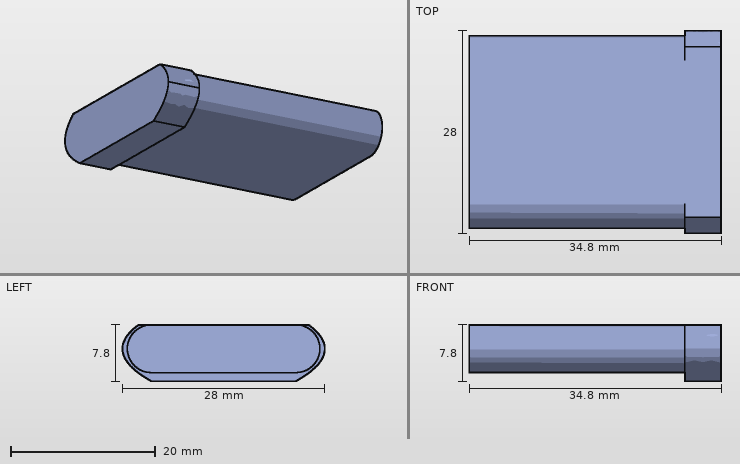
import cadquery as cq

body_length = 29.8
body_height = 6.6
body_flat_width = 20.0
body_side_radius = body_height / 2

flange_length = 5.0
flange_width = 28.0
flange_height = 7.8
flange_half_width = flange_width / 2
flange_top_half_width = 11.75
flange_bottom_half_width = body_flat_width / 2
flange_top_z = body_height / 2
flange_bottom_z = flange_top_z - flange_height


def make_body():
    body_width = body_flat_width + 2 * body_side_radius
    return cq.Workplane("YZ").slot2D(body_width, body_height).extrude(body_length)


def flange_side_curve(side, edge_half_width, edge_z):
    """Control points of a parabola from the widest point (Z = 0, upright there) to a flat face's edge."""
    return [
        (side * flange_half_width, 0),
        (side * flange_half_width, edge_z / 2),
        (side * edge_half_width, edge_z),
    ]


def make_flange():
    right_top = flange_side_curve(1, flange_top_half_width, flange_top_z)
    left_top = flange_side_curve(-1, flange_top_half_width, flange_top_z)
    left_bottom = flange_side_curve(-1, flange_bottom_half_width, flange_bottom_z)
    right_bottom = flange_side_curve(1, flange_bottom_half_width, flange_bottom_z)
    return (
        cq.Workplane("YZ", origin=(body_length, 0, 0))
        .moveTo(*right_top[0])
        .bezier(right_top)
        .lineTo(*left_top[-1])
        .bezier(left_top[::-1])
        .bezier(left_bottom)
        .lineTo(*right_bottom[-1])
        .bezier(right_bottom[::-1])
        .close()
        .extrude(flange_length)
    )


result = make_body().union(make_flange())